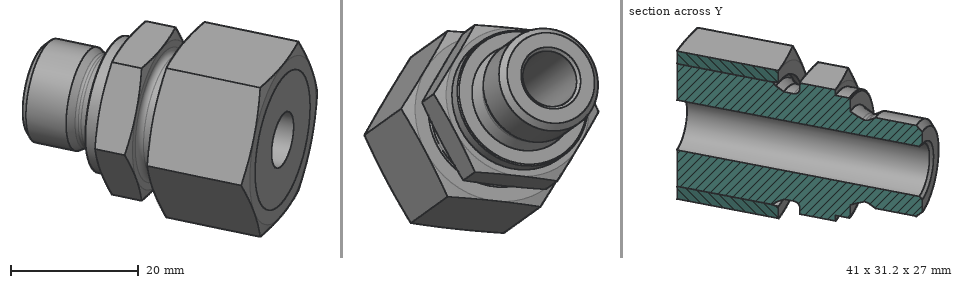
import cadquery as cq
import math


thread_radius = 8.32
stud_chamfer = 1.0
thread_end = 7.8

groove_radius = 7.5
thread_side_round = 1.0
collar_side_round = 1.25
thread_side_angle = math.radians(30)
collar_side_angle = math.radians(25)

collar_start = 12.0
collar_width = 2.45
collar_radius = 11.0
collar_chamfer_length = 0.15
collar_chamfer_depth = 0.25

body_hex_flats = 24.0
body_hex_width = 6.03

neck_radius = 9.85
neck_round = 1.0
neck_end = 23.1
spigot_radius = 11.25
lead_radius = 10.6
lead_angle = math.radians(30)
spigot_chamfer_angle = math.radians(48)

bore_radius = 4.5
bore_chamfer = 0.5

overall_length = 41.0
nut_flats = 27.0
nut_width = 17.0

corner_angle = math.radians(15)

collar_end = collar_start + collar_width
body_hex_end = collar_end + body_hex_width
nut_start = overall_length - nut_width
lead_end = neck_end + (lead_radius - neck_radius) / math.tan(lead_angle)
spigot_start = lead_end + (spigot_radius - lead_radius) / math.tan(spigot_chamfer_angle)


def hexagon(start, width, flats):
    """Hexagonal prism along X, flats facing up and down, corners chamfered at both ends."""
    corner_radius = flats / math.sqrt(3)
    flat_radius = flats / 2
    end = start + width
    chamfer_length = (corner_radius - flat_radius) * math.tan(corner_angle)
    prism = cq.Workplane("YZ", origin=(start, 0, 0)).polygon(6, 2 * corner_radius).extrude(width)
    envelope = (
        cq.Workplane("XY")
        .moveTo(start, 0)
        .lineTo(start, flat_radius)
        .lineTo(start + chamfer_length, corner_radius)
        .lineTo(end - chamfer_length, corner_radius)
        .lineTo(end, flat_radius)
        .lineTo(end, 0)
        .close()
        .revolve(360, (0, 0, 0), (1, 0, 0))
    )
    return prism.intersect(envelope)


def arc_rise(round_radius, turn):
    """Height gained along an arc that leaves the X direction and turns through an angle."""
    return round_radius * (1 - math.cos(turn))


def groove_arc_points():
    """Start, middle and end of each rounded side of the groove, as (thread side, collar side)."""
    slope_drop = thread_radius - groove_radius - arc_rise(thread_side_round, thread_side_angle)
    slope_length = slope_drop / math.tan(thread_side_angle)
    bottom = thread_end + slope_length + thread_side_round * math.sin(thread_side_angle)

    def point(direction, round_radius, turn):
        along = bottom + direction * round_radius * math.sin(turn)
        return along, groove_radius + arc_rise(round_radius, turn)

    thread_side = [point(-1, thread_side_round, thread_side_angle * part) for part in (1, 0.5, 0)]
    collar_side = [point(1, collar_side_round, collar_side_angle * part) for part in (0, 0.5, 1)]
    return thread_side, collar_side


def turned_profile():
    """Half section of the turned body, without the hexagon and the bore."""
    thread_side, collar_side = groove_arc_points()
    slope_foot, slope_foot_radius = collar_side[-1]
    slope_rise = (collar_start - slope_foot) * math.tan(collar_side_angle)

    round_inset = neck_round * (1 - math.sqrt(0.5))
    neck_round_middle = (body_hex_end + round_inset, neck_radius + round_inset)

    return (
        cq.Workplane("XY")
        .lineTo(0, thread_radius - stud_chamfer)
        .lineTo(stud_chamfer, thread_radius)
        .lineTo(thread_end, thread_radius)
        .lineTo(*thread_side[0])
        .threePointArc(*thread_side[1:])
        .threePointArc(*collar_side[1:])
        .lineTo(collar_start, slope_foot_radius + slope_rise)
        .lineTo(collar_start, collar_radius - collar_chamfer_depth)
        .lineTo(collar_start + collar_chamfer_length, collar_radius)
        .lineTo(body_hex_end, collar_radius)
        .lineTo(body_hex_end, neck_radius + neck_round)
        .threePointArc(neck_round_middle, (body_hex_end + neck_round, neck_radius))
        .lineTo(neck_end, neck_radius)
        .lineTo(lead_end, lead_radius)
        .lineTo(spigot_start, spigot_radius)
        .lineTo(overall_length, spigot_radius)
        .lineTo(overall_length, 0)
        .close()
    )


def bore_cutter():
    """Through bore with a chamfered mouth at the stud end."""
    return (
        cq.Workplane("XY")
        .lineTo(0, bore_radius + bore_chamfer)
        .lineTo(bore_chamfer, bore_radius)
        .lineTo(overall_length, bore_radius)
        .lineTo(overall_length, 0)
        .close()
        .revolve(360, (0, 0, 0), (1, 0, 0))
    )


def make_fitting_body():
    """Stud, collar, hexagon, neck and spigot in one piece, bored through."""
    turned = turned_profile().revolve(360, (0, 0, 0), (1, 0, 0))
    body_hex = hexagon(collar_end, body_hex_width, body_hex_flats)
    return turned.union(body_hex).cut(bore_cutter())


def make_nut():
    """Hexagonal nut whose plain hole fits the spigot."""
    spigot_hole = cq.Workplane("YZ", origin=(nut_start, 0, 0)).circle(spigot_radius).extrude(nut_width)
    return hexagon(nut_start, nut_width, nut_flats).cut(spigot_hole)


fitting_body = make_fitting_body()
nut = make_nut()

result = cq.Compound.makeCompound([fitting_body.val(), nut.val()])